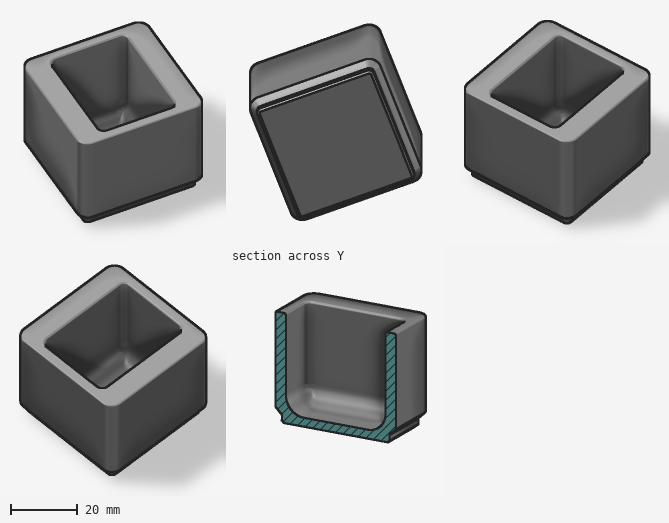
import cadquery as cq

side = 41.5
height = 35.0
corner_radius = 3.75
top_edge_radius = 0.62

toe_chamfer = 0.8
foot_wall_height = 1.8
shoulder_chamfer = 2.15

pocket_length = 34.05
pocket_width = 25.5
pocket_floor_z = 3.0
pocket_corner_radius = 2.05
pocket_floor_radius = 5.98
rim_radius = 0.85


def make_body():
    """Rounded block whose sides chamfer in to the foot."""
    body_bottom = toe_chamfer + foot_wall_height
    block = cq.Workplane("XY").box(side, side, height - body_bottom, centered=(True, True, False))
    block = block.edges("|Z").fillet(corner_radius)
    block = block.faces("<Z").chamfer(shoulder_chamfer)
    block = block.faces(">Z").edges().fillet(top_edge_radius)
    return block.translate((0, 0, body_bottom))


def make_foot():
    """Straight-walled foot with a chamfered bottom edge."""
    foot_side = side - 2 * shoulder_chamfer
    foot_height = toe_chamfer + foot_wall_height
    foot = cq.Workplane("XY").box(foot_side, foot_side, foot_height, centered=(True, True, False))
    foot = foot.edges("|Z").fillet(corner_radius - shoulder_chamfer)
    return foot.faces("<Z").chamfer(toe_chamfer)


def make_pocket():
    """Pocket volume: rounded corners whose rounds taper to a point at the scooped floor."""
    depth = height - pocket_floor_z
    pocket = cq.Workplane("XY").box(pocket_length, pocket_width, depth, centered=(True, True, False))
    pocket = pocket.edges("|Z").fillet(pocket_corner_radius)
    pocket = pocket.faces("<Z").edges().fillet(pocket_floor_radius)
    return pocket.translate((0, 0, pocket_floor_z))


def round_rim(part):
    """Round the top edge of the pocket."""
    reach_x = pocket_length / 2 + rim_radius
    reach_y = pocket_width / 2 + rim_radius
    rim_zone = cq.selectors.BoxSelector(
        (-reach_x, -reach_y, height - rim_radius),
        (reach_x, reach_y, height + rim_radius),
    )
    return part.faces(">Z").edges(rim_zone).fillet(rim_radius)


result = round_rim(make_body().union(make_foot()).cut(make_pocket()))